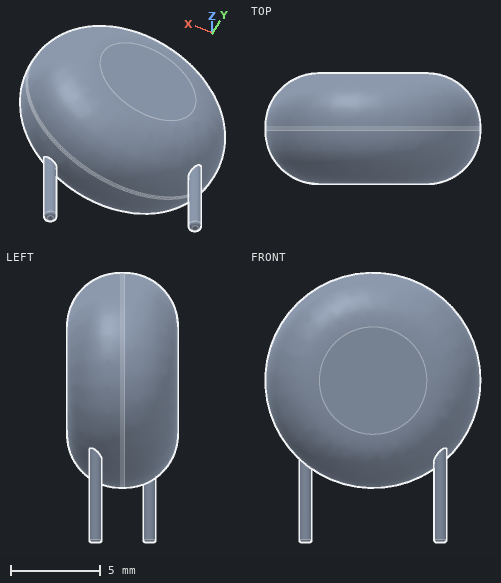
import cadquery as cq

body_diameter = 12.0
body_thickness = 6.2
rim_rounding = 3.0

overall_height = 15.03
lead_diameter = 0.72
lead_spacing_x = 7.5
lead_spacing_y = 3.0
lead_tip_rounding = 0.18

body_radius = body_diameter / 2
lead_bottom = body_radius - overall_height


def make_body():
    """Disc with generously rounded rims and a narrow straight band between them."""
    disc = cq.Workplane("XZ").circle(body_radius).extrude(body_thickness / 2, both=True)
    return disc.faces("<Y or >Y").edges().fillet(rim_rounding)


def make_lead(x, y):
    """Wire with a rounded tip, running from below the disc up to its mid-height."""
    wire = (
        cq.Workplane("XY", origin=(x, y, lead_bottom))
        .circle(lead_diameter / 2)
        .extrude(-lead_bottom)
    )
    return wire.faces("<Z").edges().fillet(lead_tip_rounding)


result = make_body()
for side in (-1, 1):
    lead = make_lead(side * lead_spacing_x / 2, -side * lead_spacing_y / 2)
    result = result.union(lead)